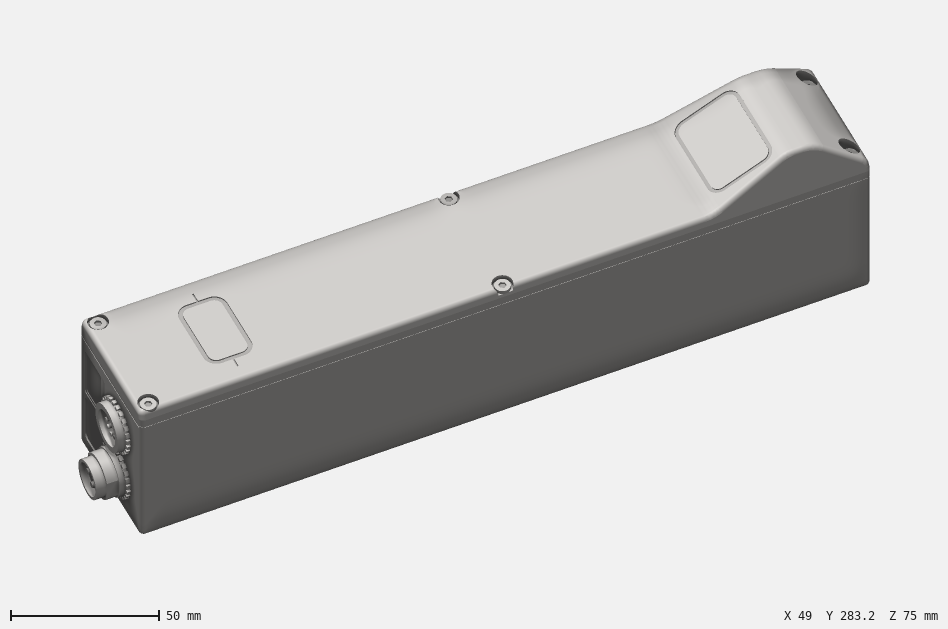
import cadquery as cq

TOLERANCE = 0.003

overall_length = 283.2
overall_height = 75.0
width = 49.0
connector_reach = 11.3
body_length = overall_length - connector_reach

lid_height = 61.7
taper_start = 58.3
hump_half_width = 19.5
edge_radius = 2.0

crest_rear = 19.0
crest_front = 29.2
hump_foot = 58.3
crest_rear_radius = 13.3
crest_front_radius = 12.0
foot_radius = 14.2
rear_edge_radius = 4.8

seam_height = 55.0
seam_size = 0.15
front_gap_height = 1.0

groove_depth = 0.5
status_window_width = 29.0
status_window_length = 17.8
status_window_y = 39.0
status_groove_width = 1.7
optic_window_width = 34.5
optic_window_length = 26.0
optic_groove_width = 1.5
window_corner_radius = 4.8
tick_length = 3.7
tick_width = 0.5

screw_head_radius = 2.8
screw_bore_radius = 3.7
screw_bore_floor = 59.5
screw_head_height = 1.5
screw_socket_width = 2.8
screw_socket_depth = 0.8
front_screw_x = 20.0
front_screw_y = 4.8
middle_screw_x = 21.5
rear_screw_x = 17.0
rear_screw_inset = 4.8

connector_x = 6.2
upper_connector_z = 38.8
lower_connector_z = 16.1
flange_radius = 10.5
flange_thickness = 1.5
knurl_count = 24
knurl_width = 1.0
knurl_depth = 1.0
upper_ring_radius = 9.0
upper_ring_reach = 4.2
upper_bore_radius = 6.8
upper_bore_depth = 4.5
lower_ring_radius = 9.0
lower_ring_reach = 3.5
collar_radius = 8.5
collar_reach = 7.6
collar_flat_offset = 7.6
nose_radius = 7.5
lower_bore_radius = 6.2
lower_bore_depth = 2.8
upper_pin_count = 8
upper_pin_radius = 0.8
upper_pin_circle_radius = 3.7
lower_pin_count = 4
lower_pin_radius = 1.0
lower_pin_circle_radius = 3.5

label_left = -20.5
label_right = -4.5
label_divider = -8.0
label_height = 20.7
label_corner_radius = 2.3
label_depth = 0.3
upper_label_margin = 0.8


def make_body():
    """Housing and lid: the side profile cut to the tapering end outline, edges rounded."""
    profile = (
        cq.Workplane("YZ")
        .polyline([
            (0, 0),
            (0, lid_height),
            (body_length - hump_foot, lid_height),
            (body_length - crest_front, overall_height),
            (body_length - crest_rear, overall_height),
            (body_length, lid_height),
            (body_length, 0),
        ])
        .close()
        .extrude(width / 2, both=True)
    )
    for inset, height, radius in [
        (hump_foot, lid_height, foot_radius),
        (crest_front, overall_height, crest_front_radius),
        (crest_rear, overall_height, crest_rear_radius),
        (0, lid_height, rear_edge_radius),
    ]:
        corner = cq.selectors.NearestToPointSelector((0, body_length - inset, height))
        profile = profile.edges("|X").edges(corner).fillet(radius)

    end_outline = (
        cq.Workplane("XZ")
        .polyline([
            (-width / 2, 0),
            (-width / 2, taper_start),
            (-hump_half_width, overall_height),
            (hump_half_width, overall_height),
            (width / 2, taper_start),
            (width / 2, 0),
        ])
        .close()
        .extrude(-body_length)
    )
    body = profile.intersect(end_outline)
    rounded = [edge for edge in body.edges().vals() if is_outer_edge(edge)]
    return body.newObject(rounded).fillet(edge_radius)


def is_outer_edge(edge):
    """True for an edge around a side, around the underside or at the front of the lid."""
    centre = edge.Center()
    along_x = edge.BoundingBox().xlen > width / 2
    at_fold = abs(centre.z - taper_start) < TOLERANCE
    at_foot = centre.z < TOLERANCE
    at_front = centre.y < TOLERANCE
    return not at_fold and (not along_x or at_foot or at_front)


def seam_groove():
    """Thin groove around the housing below the lid, widened to a gap across the front face."""
    def outline(inset):
        return (
            cq.Workplane("XY", origin=(0, body_length / 2, seam_height))
            .rect(width - 2 * inset, body_length - 2 * inset)
            .extrude(-seam_size)
            .edges("|Z")
            .fillet(edge_radius - inset)
        )
    front_gap = (
        cq.Workplane("XY", origin=(0, 0, seam_height))
        .rect(width, 2 * seam_size)
        .extrude(-front_gap_height)
    )
    return outline(0).cut(outline(seam_size)).union(front_gap)


def window_groove(plane, window_width, window_length, groove_width):
    """Ring-shaped cutter below the given plane, outlining a rounded rectangle."""
    def pad(inset):
        return (
            cq.Workplane(plane)
            .rect(window_width - 2 * inset, window_length - 2 * inset)
            .extrude(-groove_depth)
            .edges(cq.selectors.ParallelDirSelector(plane.zDir))
            .fillet(window_corner_radius - inset)
        )
    return pad(0).cut(pad(groove_width))


def status_window():
    """Grooved window near the front of the lid, with a tick mark at each side."""
    plane = cq.Plane(origin=(0, status_window_y, lid_height))
    cutter = window_groove(plane, status_window_width, status_window_length, status_groove_width)
    tick_x = (status_window_width + tick_length) / 2
    ticks = (
        cq.Workplane(plane)
        .pushPoints([(-tick_x, 0), (tick_x, 0)])
        .rect(tick_length, tick_width)
        .extrude(-groove_depth)
    )
    return cutter.union(ticks)


def optic_window():
    """Grooved window centred on the front slope of the hump."""
    slope_rise = overall_height - lid_height
    slope_run = hump_foot - crest_front
    centre_y = body_length - (hump_foot + crest_front) / 2
    centre_z = (overall_height + lid_height) / 2
    plane = cq.Plane(
        origin=(0, centre_y, centre_z),
        xDir=(1, 0, 0),
        normal=(0, -slope_rise, slope_run),
    )
    return window_groove(plane, optic_window_width, optic_window_length, optic_groove_width)


def add_screw(body, x, y):
    """Counterbore open to the top, holding a socket-head screw."""
    plane = cq.Workplane("XY", origin=(x, y, screw_bore_floor))
    bore = plane.circle(screw_bore_radius).extrude(overall_height - screw_bore_floor)
    head = (
        plane.circle(screw_head_radius)
        .extrude(screw_head_height)
        .faces(">Z")
        .workplane()
        .polygon(6, screw_socket_width)
        .cutBlind(-screw_socket_depth)
    )
    return body.cut(bore).union(head)


def front_disc(z, radius, start, end):
    """Disc on a connector axis, spanning two distances out from the front face."""
    return (
        cq.Workplane("XZ", origin=(connector_x, -start, z))
        .circle(radius)
        .extrude(end - start)
    )


def knurled_flange(z):
    flange = front_disc(z, flange_radius, 0, flange_thickness)
    notches = (
        cq.Workplane("XZ", origin=(connector_x, 0, z))
        .polarArray(flange_radius, 0, 360, knurl_count)
        .rect(2 * knurl_depth, knurl_width)
        .extrude(flange_thickness)
    )
    return flange.cut(notches)


def pins(z, start, end, count, circle_radius, radius):
    return (
        cq.Workplane("XZ", origin=(connector_x, -start, z))
        .polarArray(circle_radius, 0, 360, count)
        .circle(radius)
        .extrude(end - start)
    )


def add_upper_connector(body):
    """Low ring with a deep bore and a circle of pins."""
    z = upper_connector_z
    floor = upper_ring_reach - upper_bore_depth
    ring = front_disc(z, upper_ring_radius, 0, upper_ring_reach)
    bore = front_disc(z, upper_bore_radius, floor, upper_ring_reach)
    body = body.union(knurled_flange(z)).union(ring).cut(bore)
    pin_end = upper_ring_reach - flange_thickness
    contacts = pins(z, floor, pin_end, upper_pin_count, upper_pin_circle_radius, upper_pin_radius)
    return body.union(contacts)


def add_lower_connector(body):
    """Stepped plug: ring, collar with two flats, and nose with a shallow pinned bore."""
    z = lower_connector_z
    floor = connector_reach - lower_bore_depth
    ring = front_disc(z, lower_ring_radius, 0, lower_ring_reach)
    flats = (
        cq.Workplane("XZ", origin=(connector_x, 0, z))
        .rect(2 * collar_flat_offset, 2 * collar_radius)
        .extrude(collar_reach)
    )
    collar = front_disc(z, collar_radius, 0, collar_reach).intersect(flats)
    nose = front_disc(z, nose_radius, 0, connector_reach)
    bore = front_disc(z, lower_bore_radius, floor, connector_reach)
    plug = knurled_flange(z).union(ring).union(collar).union(nose).cut(bore)
    pin_end = floor + lower_bore_depth / 2
    contacts = pins(z, floor, pin_end, lower_pin_count, lower_pin_circle_radius, lower_pin_radius)
    return body.union(plug).union(contacts)


def label_recess(z, margin):
    """Rounded recess whose part left of the divider, inside a margin, is twice as deep."""
    def pocket(left, right, height, depth):
        return (
            cq.Workplane("XZ", origin=((left + right) / 2, 0, z))
            .rect(right - left, height)
            .extrude(-depth)
            .edges("|Y")
            .fillet(label_corner_radius - margin)
        )
    plate = pocket(label_left, label_right, label_height, label_depth)
    deep_height = label_height - 2 * margin
    return plate.union(pocket(label_left + margin, label_divider, deep_height, 2 * label_depth))


result = make_body()
result = result.cut(seam_groove()).cut(status_window()).cut(optic_window())
result = result.cut(label_recess(upper_connector_z, upper_label_margin))
result = result.cut(label_recess(lower_connector_z, 0))

for side in (-1, 1):
    result = add_screw(result, side * front_screw_x, front_screw_y)
    result = add_screw(result, side * middle_screw_x, body_length / 2)
    result = add_screw(result, side * rear_screw_x, body_length - rear_screw_inset)

result = add_upper_connector(result)
result = add_lower_connector(result).solids()